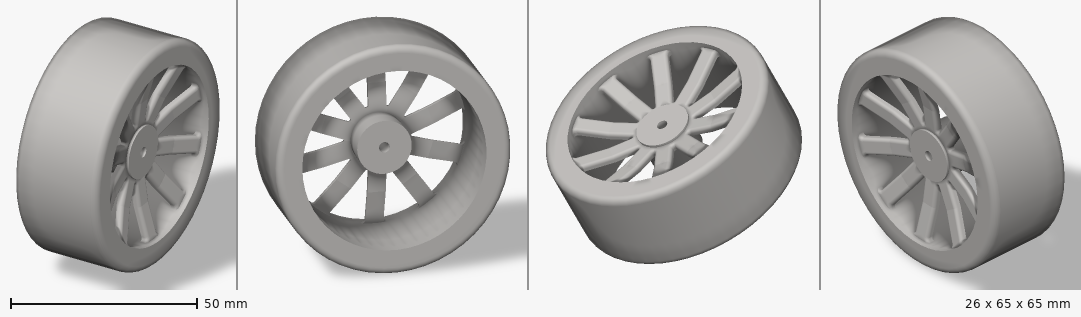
import cadquery as cq
import math

rim_width = 26.0
rim_radius = 32.5
rim_inner_radius = 25.5
rim_edge_fillet = 1.95

hub_radius = 7.55
hub_bore_radius = 1.5
hub_front_x = -2.0
hub_length = 10.0

spoke_count = 10
spoke_pitch = 360 / spoke_count
half_pitch = math.radians(spoke_pitch / 2)
spoke_width = 5.0
spoke_thickness = 1.95
bend_radius = 15.6
bend_x = 6.45
inner_slope = 0.14
outer_slope = 0.28

window_hub_corner_fillet = 0.5
window_rim_corner_fillet = 1.0
window_back_fillet = 1.0

size_tolerance = 0.05

web_inner_radius = (hub_bore_radius + hub_radius) / 2
web_outer_radius = (rim_inner_radius + rim_radius) / 2


def cylinder(start_x, length, radius):
    """A cylinder lying along the X axis."""
    return cq.Workplane("YZ").workplane(offset=start_x).circle(radius).extrude(length)


def turned(body, pitches):
    """A body turned about the axle by a number of spoke pitches."""
    return body.rotate((0, 0, 0), (1, 0, 0), pitches * spoke_pitch)


def make_rim():
    tyre = cylinder(-rim_width / 2, rim_width, rim_radius).edges("%CIRCLE").fillet(rim_edge_fillet)
    return tyre.cut(cylinder(-rim_width / 2, rim_width, rim_inner_radius))


def front_x(height):
    """X of the +Z spoke's front face at a height above the axle."""
    slope = inner_slope if height < bend_radius else outer_slope
    return bend_x + slope * (height - bend_radius)


def make_bent_plate():
    """A wide plate with the cross-section of the +Z spoke."""
    inner_x = front_x(web_inner_radius)
    outer_x = front_x(web_outer_radius)
    return (
        cq.Workplane("XZ")
        .moveTo(inner_x, web_inner_radius)
        .lineTo(bend_x, bend_radius)
        .lineTo(outer_x, web_outer_radius)
        .lineTo(outer_x + spoke_thickness, web_outer_radius)
        .lineTo(bend_x + spoke_thickness, bend_radius)
        .lineTo(inner_x + spoke_thickness, web_inner_radius)
        .close()
        .extrude(rim_radius, both=True)
    )


def make_wedge(tip_height):
    """A wedge one spoke pitch wide, opening along +Z from a tip above the axle."""
    half_width = (rim_radius - tip_height) * math.tan(half_pitch)
    return (
        cq.Workplane("YZ")
        .polyline([(0, tip_height), (half_width, rim_radius), (-half_width, rim_radius)])
        .close()
        .extrude(rim_width / 2)
    )


def make_window():
    """The opening between two spokes, centred on +Z, with rounded corners."""
    tip_height = spoke_width / 2 / math.sin(half_pitch)
    rim_bore = cylinder(0, rim_width / 2, rim_inner_radius)
    window = make_wedge(tip_height).intersect(rim_bore)
    window = window.edges("|X and <Z").fillet(window_hub_corner_fillet)
    return window.edges("|X and (<Y or >Y)").fillet(window_rim_corner_fillet)


def is_window_back_edge(edge):
    """True for the edges where the windows break through the back of the plate."""
    centre = edge.Center()
    depth = centre.x - front_x(centre.z)
    on_back = depth > spoke_thickness - size_tolerance
    beside_spoke = abs(centre.y) > spoke_width / 2 - size_tolerance
    inside_rim = math.hypot(centre.y, centre.z) < rim_inner_radius
    return on_back and beside_spoke and inside_rim


def make_spoke():
    """The +Z spoke with its share of the web around the hub and beneath the rim."""
    window = make_window()
    plate = make_bent_plate().cut(turned(window, 0.5)).cut(turned(window, -0.5))
    plate = plate.edges().filter(is_window_back_edge).fillet(window_back_fillet)
    return plate.intersect(make_wedge(0)).intersect(cylinder(0, rim_width / 2, rim_inner_radius))


def make_hub():
    hub = cylinder(hub_front_x, hub_length, hub_radius)
    return hub.cut(cylinder(hub_front_x, hub_length, hub_bore_radius))


spoke = make_spoke()
result = make_rim()
for index in range(spoke_count):
    result = result.union(turned(spoke, index))
result = result.union(make_hub())